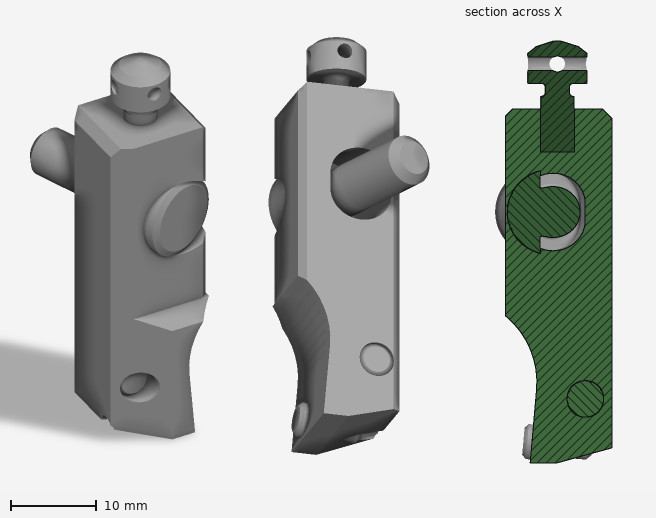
import cadquery as cq
import math


HOUSING_HEIGHT = 41.4
HALF_WIDTH = 5.5
FRONT_Y = -6.38
BACK_Y = 6.12
FOOT_X = 7.4
RAMP_TOP_Z = 17.25
EDGE_CHAMFER = 1.1
BACK_EDGE_CHAMFER = 0.87
SLANT_ANGLE = 25.0
SLANT_START_Y = -3.9
BOTTOM_FLAT_Y = 0.2
FRONT_BOTTOM_Z = 1.8

HOLLOW_RADIUS = 10.0
REST_FACE_ANGLE = 5.0
REST_FACE_BOTTOM_Y = 3.22

BOLT_ANGLE = 20.0
BOLT_Y = 0.69
BOLT_Z = 29.36
BOLT_RADIUS = 3.0
BOLT_TIP = -16.17
BOLT_TIP_CHAMFER = 1.0
BOLT_HEAD_RADIUS = 5.0
BOLT_HEAD_START = 0.0
BOLT_HEAD_END = 5.9
BOLT_HEAD_CHAMFER_RADIAL = 0.8
BOLT_HEAD_CHAMFER_AXIAL = 0.46
BOLT_NECK_FILLET = 0.3
BOLT_SLOT_WIDTH = 7.0
BOLT_SLOT_HEIGHT = 9.0

SCREW_RADIUS = 2.0
SCREW_DEPTH = 5.0
SCREW_SHOULDER_Z = 42.9
NECK_RADIUS = 1.5
NECK_FILLET = 0.4
KNOB_RADIUS = 3.5
KNOB_BOTTOM_Z = 44.35
KNOB_SIDE_TOP_Z = 47.9
CROWN_RADIUS = 2.5
CROWN_Z = 48.7
CROWN_FLAT_RADIUS = 0.5
SCREW_TOP_Z = 49.36
CROSS_HOLE_RADIUS = 0.9
CROSS_HOLE_Z = 46.65

DOWEL_RADIUS = 2.1
DOWEL_CHAMFER = 0.5
DOWEL_LENGTH = 10.0
DOWEL_Y = -3.26
DOWEL_Z = 7.54

BUTTON_X = 3.3
BUTTON_Z = 2.48
BUTTON_HEAD_RADIUS = 2.05
BUTTON_HEAD_HEIGHT = 0.95
BUTTON_HEAD_CHAMFER = 0.45
BUTTON_SHANK_RADIUS = 1.5
BUTTON_SHANK_LENGTH = 7.1
BUTTON_SHANK_CHAMFER = 0.57
KNOCKOUT_RADIUS = 1.22

CUT_REACH = 30.0

bolt_lean = math.radians(BOLT_ANGLE)
bolt_direction = cq.Vector(math.cos(bolt_lean), math.sin(bolt_lean), 0)
bolt_plane = cq.Plane(origin=(0, BOLT_Y, BOLT_Z), xDir=(0, 0, 1), normal=bolt_direction)

rest_lean = math.radians(REST_FACE_ANGLE)
button_direction = cq.Vector(0, math.cos(rest_lean), math.sin(rest_lean))
button_origin = (BUTTON_X, REST_FACE_BOTTOM_Y - BUTTON_Z * math.tan(rest_lean), BUTTON_Z)
button_plane = cq.Plane(origin=button_origin, xDir=(1, 0, 0), normal=button_direction)

dowel_plane = cq.Plane(origin=(-HALF_WIDTH, DOWEL_Y, DOWEL_Z), xDir=(0, 1, 0), normal=(1, 0, 0))


def rod(plane, radius, start, end):
    """Cylinder between two distances along the axis of a plane."""
    return cq.Workplane(plane).workplane(offset=start).circle(radius).extrude(end - start)


def side_profile():
    """Block in Y and Z, with the sloping underside and the top chamfers."""
    return (
        cq.Workplane("YZ", origin=(-HALF_WIDTH, 0, 0))
        .moveTo(FRONT_Y, FRONT_BOTTOM_Z)
        .lineTo(BOTTOM_FLAT_Y, 0)
        .lineTo(BACK_Y, 0)
        .lineTo(BACK_Y, HOUSING_HEIGHT - BACK_EDGE_CHAMFER)
        .lineTo(BACK_Y - BACK_EDGE_CHAMFER, HOUSING_HEIGHT)
        .lineTo(FRONT_Y + EDGE_CHAMFER, HOUSING_HEIGHT)
        .lineTo(FRONT_Y, HOUSING_HEIGHT - EDGE_CHAMFER)
        .close()
        .extrude(HALF_WIDTH + FOOT_X)
    )


def plan_profile():
    """Outline in X and Y: two chamfered -X edges and the slanted face."""
    slope = math.tan(math.radians(SLANT_ANGLE))
    slant_foot_y = SLANT_START_Y + (FOOT_X - HALF_WIDTH) / slope
    slant_front_x = HALF_WIDTH - (SLANT_START_Y - FRONT_Y) * slope
    return (
        cq.Workplane("XY")
        .moveTo(EDGE_CHAMFER - HALF_WIDTH, FRONT_Y)
        .lineTo(slant_front_x, FRONT_Y)
        .lineTo(FOOT_X, slant_foot_y)
        .lineTo(FOOT_X, BACK_Y)
        .lineTo(BACK_EDGE_CHAMFER - HALF_WIDTH, BACK_Y)
        .lineTo(-HALF_WIDTH, BACK_Y - BACK_EDGE_CHAMFER)
        .lineTo(-HALF_WIDTH, FRONT_Y + EDGE_CHAMFER)
        .close()
        .extrude(HOUSING_HEIGHT)
    )


def upper_setback():
    """Material taken off above the foot: the ramp and the chamfered +X/+Y edge."""
    step = FOOT_X - HALF_WIDTH
    ramp = (
        cq.Workplane("XZ", origin=(0, BACK_Y, 0))
        .moveTo(HALF_WIDTH, RAMP_TOP_Z)
        .lineTo(FOOT_X, RAMP_TOP_Z - step)
        .lineTo(FOOT_X, HOUSING_HEIGHT)
        .lineTo(HALF_WIDTH, HOUSING_HEIGHT)
        .close()
        .extrude(BACK_Y - FRONT_Y)
    )
    edge = (
        cq.Workplane("XY", origin=(0, 0, RAMP_TOP_Z))
        .moveTo(HALF_WIDTH, BACK_Y)
        .lineTo(HALF_WIDTH - BACK_EDGE_CHAMFER, BACK_Y)
        .lineTo(HALF_WIDTH, BACK_Y - BACK_EDGE_CHAMFER)
        .close()
        .extrude(HOUSING_HEIGHT - RAMP_TOP_Z)
    )
    return ramp.union(edge)


def hollow():
    """Cutter for the +Y side: the arc starts level with the ramp and is tangent to the flat."""
    rise_y = BACK_Y - REST_FACE_BOTTOM_Y
    along_flat = RAMP_TOP_Z * math.cos(rest_lean) - rise_y * math.sin(rest_lean)
    off_flat = rise_y * math.cos(rest_lean) + RAMP_TOP_Z * math.sin(rest_lean)
    tangent_along = along_flat - math.sqrt(HOLLOW_RADIUS**2 - (off_flat - HOLLOW_RADIUS) ** 2)

    def point(along, off):
        """Y and Z of a place given along the flat and square off it."""
        y = REST_FACE_BOTTOM_Y - along * math.sin(rest_lean) + off * math.cos(rest_lean)
        z = along * math.cos(rest_lean) + off * math.sin(rest_lean)
        return (y, z)

    sweep = math.acos((HOLLOW_RADIUS - off_flat) / HOLLOW_RADIUS)
    middle = point(
        tangent_along + HOLLOW_RADIUS * math.sin(sweep / 2),
        HOLLOW_RADIUS * (1 - math.cos(sweep / 2)),
    )
    return (
        cq.Workplane("YZ", origin=(-HALF_WIDTH, 0, 0))
        .moveTo(REST_FACE_BOTTOM_Y, 0)
        .lineTo(*point(tangent_along, 0))
        .threePointArc(middle, (BACK_Y, RAMP_TOP_Z))
        .lineTo(BACK_Y, 0)
        .close()
        .extrude(HALF_WIDTH + FOOT_X)
    )


def bolt_opening():
    """Upright slot for the bolt's shank and a round seat for its head."""
    slot = (
        cq.Workplane(bolt_plane)
        .slot2D(BOLT_SLOT_HEIGHT, BOLT_SLOT_WIDTH)
        .extrude(CUT_REACH, both=True)
    )
    return slot.union(rod(bolt_plane, BOLT_HEAD_RADIUS, BOLT_HEAD_START, CUT_REACH))


def make_housing():
    screw_hole = rod(cq.Plane.XY(), SCREW_RADIUS, HOUSING_HEIGHT - SCREW_DEPTH, HOUSING_HEIGHT)
    button_hole = rod(button_plane, BUTTON_SHANK_RADIUS, -BUTTON_SHANK_LENGTH, BUTTON_HEAD_HEIGHT)
    return (
        side_profile()
        .intersect(plan_profile())
        .cut(upper_setback())
        .cut(hollow())
        .cut(bolt_opening())
        .cut(screw_hole)
        .cut(rod(dowel_plane, DOWEL_RADIUS, 0, CUT_REACH))
        .cut(button_hole)
        .cut(rod(button_plane, KNOCKOUT_RADIUS, -CUT_REACH, -BUTTON_SHANK_LENGTH))
    )


def make_bolt():
    shank = rod(bolt_plane, BOLT_RADIUS, BOLT_TIP, BOLT_HEAD_START).faces("<X").chamfer(BOLT_TIP_CHAMFER)
    head = (
        rod(bolt_plane, BOLT_HEAD_RADIUS, BOLT_HEAD_START, BOLT_HEAD_END)
        .faces(cq.selectors.DirectionMinMaxSelector(bolt_direction, True))
        .chamfer(BOLT_HEAD_CHAMFER_AXIAL, BOLT_HEAD_CHAMFER_RADIAL)
    )
    at_shank_radius = cq.selectors.RadiusNthSelector(1)
    shank_end = cq.selectors.DirectionMinMaxSelector(bolt_direction, True)
    return shank.union(head).edges(at_shank_radius).edges(shank_end).fillet(BOLT_NECK_FILLET)


def make_screw():
    tip_z = HOUSING_HEIGHT - SCREW_DEPTH
    profile = (
        cq.Workplane("XZ")
        .moveTo(0, tip_z)
        .lineTo(SCREW_RADIUS, tip_z)
        .lineTo(SCREW_RADIUS, SCREW_SHOULDER_Z)
        .lineTo(NECK_RADIUS + NECK_FILLET, SCREW_SHOULDER_Z)
        .radiusArc((NECK_RADIUS, SCREW_SHOULDER_Z + NECK_FILLET), NECK_FILLET)
        .lineTo(NECK_RADIUS, KNOB_BOTTOM_Z - NECK_FILLET)
        .radiusArc((NECK_RADIUS + NECK_FILLET, KNOB_BOTTOM_Z), NECK_FILLET)
        .lineTo(KNOB_RADIUS, KNOB_BOTTOM_Z)
        .lineTo(KNOB_RADIUS, KNOB_SIDE_TOP_Z)
        .lineTo(CROWN_RADIUS, CROWN_Z)
        .lineTo(CROWN_FLAT_RADIUS, SCREW_TOP_Z)
        .lineTo(0, SCREW_TOP_Z)
        .close()
    )
    screw = profile.revolve(360, (0, 0, 0), (0, 1, 0))
    for plane in ("XZ", "YZ"):
        cross_hole = (
            cq.Workplane(plane, origin=(0, 0, CROSS_HOLE_Z))
            .circle(CROSS_HOLE_RADIUS)
            .extrude(KNOB_RADIUS, both=True)
        )
        screw = screw.cut(cross_hole)
    return screw


def make_dowel():
    return rod(dowel_plane, DOWEL_RADIUS, 0, DOWEL_LENGTH).faces("<X or >X").chamfer(DOWEL_CHAMFER)


def make_button():
    head = (
        rod(button_plane, BUTTON_HEAD_RADIUS, 0, BUTTON_HEAD_HEIGHT)
        .faces(cq.selectors.DirectionMinMaxSelector(button_direction, True))
        .chamfer(BUTTON_HEAD_CHAMFER)
    )
    shank = (
        rod(button_plane, BUTTON_SHANK_RADIUS, -BUTTON_SHANK_LENGTH, 0)
        .faces(cq.selectors.DirectionMinMaxSelector(button_direction, False))
        .chamfer(BUTTON_SHANK_CHAMFER)
    )
    return head.union(shank)


housing = make_housing()
bolt = make_bolt()
screw = make_screw()
dowel = make_dowel()
button = make_button()

result = cq.Compound.makeCompound(
    [housing.val(), bolt.val(), screw.val(), dowel.val(), button.val()]
)